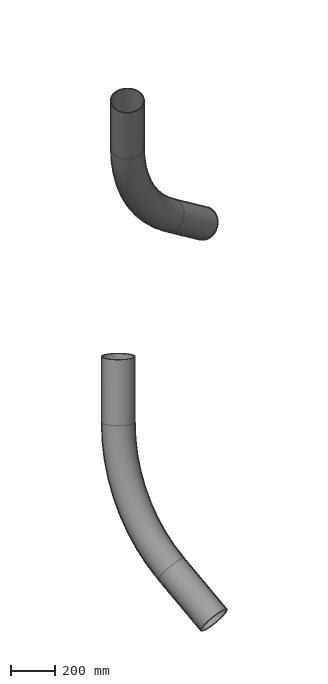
import cadquery as cq
import math

overall_height = 1221.0
outer_diameter = 153.0
inner_diameter = 148.0
leg_length = 303.0
bend_angle = 45.0

outer_radius = outer_diameter / 2
bend_sin = math.sin(math.radians(bend_angle))
bend_cos = math.cos(math.radians(bend_angle))

end_face_drop = outer_radius * bend_sin
bend_height = overall_height - end_face_drop - leg_length * (1 + bend_cos)
bend_radius = bend_height / bend_sin


def bend_point(angle):
    """Centreline point (y, z) at an angle in degrees from the start of the bend."""
    turn = math.radians(angle)
    y = bend_radius * (1 - math.cos(turn))
    z = -leg_length - bend_radius * math.sin(turn)
    return y, z


bend_end = bend_point(bend_angle)
lower_end = (
    bend_end[0] + leg_length * bend_sin,
    bend_end[1] - leg_length * bend_cos,
)
centreline = (
    cq.Workplane("YZ")
    .moveTo(0, 0)
    .lineTo(*bend_point(0))
    .threePointArc(bend_point(bend_angle / 2), bend_end)
    .lineTo(*lower_end)
)

result = (
    cq.Workplane("XY")
    .circle(outer_radius)
    .circle(inner_diameter / 2)
    .sweep(centreline)
)